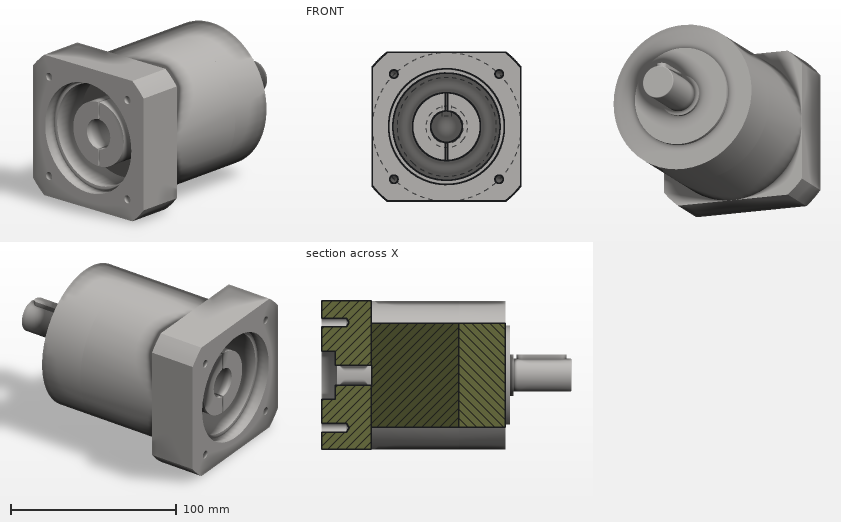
import cadquery as cq
import math


flange_length = 30.0
gear_housing_length = 53.0
output_housing_length = 28.2
pilot_length = 2.7
shoulder_length = 2.0
total_length = 151.0

body_diameter = 90.0
pilot_diameter = 60.0
shoulder_diameter = 25.0
shaft_diameter = 20.0
shaft_tip_round = 0.5

flange_corner_diameter = 115.0
motor_pilot_diameter = 70.0
motor_pilot_depth = 8.0
cavity_diameter = 65.0
bolt_circle_diameter = 90.0
bolt_hole_diameter = 5.0
bolt_hole_depth = 15.0
drill_point_angle = 118.0

collar_diameter = 41.0
collar_bore_diameter = 19.0
collar_recess = 9.4
slit_width = 1.4
slit_depth = 15.0

key_width = 6.0
key_height = 6.0
key_length = 30.0
key_rise = 2.5
key_tip_gap = 3.0

motor_face_y = -total_length / 2
flange_back_y = motor_face_y + flange_length
gear_housing_end_y = flange_back_y + gear_housing_length
output_face_y = gear_housing_end_y + output_housing_length
pilot_face_y = output_face_y + pilot_length
shoulder_end_y = pilot_face_y + shoulder_length
shaft_tip_y = total_length / 2


def cylinder(diameter, start_y, end_y):
    """Solid cylinder on the gearbox axis between two stations."""
    return cq.Workplane("XZ", origin=(0, start_y, 0)).circle(diameter / 2).extrude(start_y - end_y)


def make_bolt_holes():
    """Four blind drilled holes, with conical ends, in the motor face."""
    radius = bolt_hole_diameter / 2
    point_length = radius / math.tan(math.radians(drill_point_angle / 2))
    profile = [(0, 0), (radius, 0), (radius, bolt_hole_depth), (0, bolt_hole_depth + point_length)]
    drill = cq.Workplane("XY").polyline(profile).close().revolve(360, (0, 0), (0, 1))
    offset = bolt_circle_diameter / 2 * math.sqrt(0.5)
    holes = cq.Workplane("XY")
    for x in (-offset, offset):
        for z in (-offset, offset):
            holes = holes.add(drill.translate((x, motor_face_y, z)))
    return holes


def make_flange():
    """Square motor flange with corners turned round and a stepped bore."""
    square = cq.Workplane("XY").box(body_diameter, flange_length, body_diameter)
    square = square.translate((0, motor_face_y + flange_length / 2, 0))
    flange = square.intersect(cylinder(flange_corner_diameter, motor_face_y, flange_back_y))
    flange = flange.cut(cylinder(motor_pilot_diameter, motor_face_y, motor_face_y + motor_pilot_depth))
    flange = flange.cut(cylinder(cavity_diameter, motor_face_y, flange_back_y))
    for hole in make_bolt_holes().vals():
        flange = flange.cut(cq.Workplane(hole))
    return flange


def make_collar():
    """Clamp collar in the flange cavity, slit across its open end."""
    collar_face_y = motor_face_y + collar_recess
    collar = cylinder(collar_diameter, collar_face_y, flange_back_y)
    collar = collar.cut(cylinder(collar_bore_diameter, collar_face_y, flange_back_y))
    slit = cq.Workplane("XY").box(slit_width, slit_depth, collar_diameter)
    return collar.cut(slit.translate((0, collar_face_y + slit_depth / 2, 0)))


def make_gear_housing():
    """Plain cylinder between the flange and the output housing."""
    return cylinder(body_diameter, flange_back_y, gear_housing_end_y)


def make_output_housing():
    """Output end cover with its locating pilot."""
    cover = cylinder(body_diameter, gear_housing_end_y, output_face_y)
    return cover.union(cylinder(pilot_diameter, output_face_y, pilot_face_y))


def make_key():
    """Round-ended key set near the tip of the shaft."""
    key_bottom_z = shaft_diameter / 2 + key_rise - key_height
    key_middle_y = shaft_tip_y - key_tip_gap - key_length / 2
    key = cq.Workplane("XY").slot2D(key_length, key_width, 90).extrude(key_height)
    return key.translate((0, key_middle_y, key_bottom_z))


def make_shaft(key):
    """Output shaft with a root shoulder, a rounded tip and a seat for the key."""
    shoulder = cylinder(shoulder_diameter, pilot_face_y, shoulder_end_y)
    journal = cylinder(shaft_diameter, shoulder_end_y, shaft_tip_y)
    journal = journal.faces(">Y").edges().fillet(shaft_tip_round)
    return shoulder.union(journal).cut(key)


flange = make_flange()
collar = make_collar()
gear_housing = make_gear_housing()
output_housing = make_output_housing()
key = make_key()
shaft = make_shaft(key)

result = cq.Compound.makeCompound([
    flange.val(),
    collar.val(),
    gear_housing.val(),
    output_housing.val(),
    shaft.val(),
    key.val(),
])